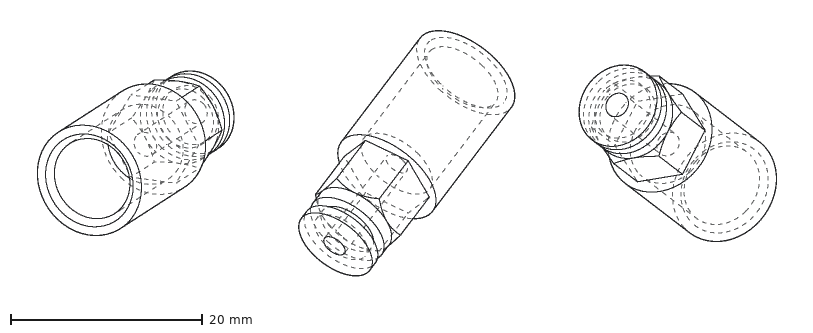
import cadquery as cq
import math

total_length = 26.6
socket_length = 15.99
hex_length = 6.5
collar_length = 1.52
neck_length = 1.28

socket_diameter = 12.0
bore_diameter = 8.7
bore_mouth_diameter = 10.08
through_hole_diameter = 2.6
hex_across_flats = 9.0
collar_diameter = 9.0
neck_diameter = 6.4
button_tip_diameter = 7.08

bore_depth = 14.0
mouth_chamfer_depth = 0.7
hex_chamfer_depth = 0.65
button_bevel_length = 0.2

hex_across_corners = hex_across_flats / math.cos(math.pi / 6)
hex_end = socket_length + hex_length
collar_end = hex_end + collar_length
neck_end = collar_end + neck_length
button_length = total_length - neck_end


def plane_at(y):
    """Plane across the axis at y, with its normal toward +Y and local x along X."""
    return cq.Plane(origin=(0, y, 0), xDir=(1, 0, 0), normal=(0, 1, 0))


def cylinder(start, length, diameter):
    return cq.Workplane(plane_at(start)).circle(diameter / 2).extrude(length)


def cone(start, length, start_diameter, end_diameter):
    return (
        cq.Workplane(plane_at(start))
        .circle(start_diameter / 2)
        .workplane(offset=length)
        .circle(end_diameter / 2)
        .loft()
    )


def hex_section():
    """Wrench hexagon with its corners turned down to the collar at the far end."""
    prism = cq.Workplane(plane_at(socket_length)).polygon(6, hex_across_corners).extrude(hex_length)
    chamfer_start = hex_end - hex_chamfer_depth
    envelope = cylinder(socket_length, hex_length - hex_chamfer_depth, hex_across_corners).union(
        cone(chamfer_start, hex_chamfer_depth, hex_across_corners, hex_across_flats)
    )
    return prism.intersect(envelope)


def release_button():
    """Flanged button with a shallow conical bevel on its outer end."""
    bevel_start = total_length - button_bevel_length
    flange = cylinder(neck_end, button_length - button_bevel_length, collar_diameter)
    return flange.union(cone(bevel_start, button_bevel_length, collar_diameter, button_tip_diameter))


body = (
    cylinder(0, socket_length, socket_diameter)
    .union(hex_section())
    .union(cylinder(hex_end, collar_length, collar_diameter))
    .union(cylinder(collar_end, neck_length, neck_diameter))
    .union(release_button())
)

result = (
    body.cut(cylinder(0, bore_depth, bore_diameter))
    .cut(cone(0, mouth_chamfer_depth, bore_mouth_diameter, bore_diameter))
    .cut(cylinder(0, total_length, through_hole_diameter))
)